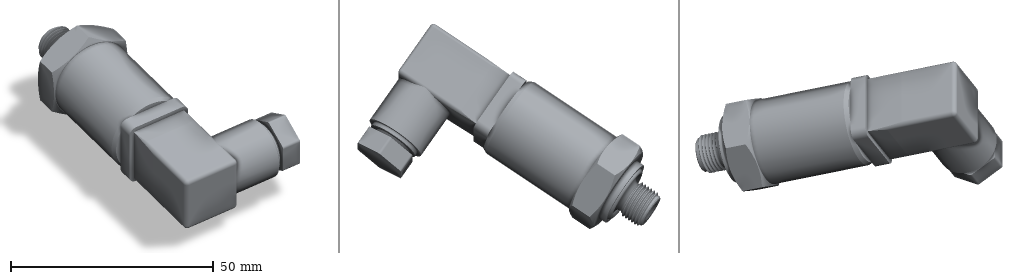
import cadquery as cq
import math


thread_end = 6.4
collar_start = 7.95
hex_start = 9.85
hex_end = 17.2
housing_end = 43.3
base_end = 47.3
plug_end = 70.9

thread_crest_diameter = 9.7
thread_root_diameter = 8.6
thread_pitch = 0.91
ridge_start = 0.85
ridge_length = 5.0
ridge_crest_width = 0.15
ridge_base_width = 0.8
ridge_sink = 0.105
ridge_start_angle = 90.0
undercut_diameter = 8.0
collar_diameter = 17.0
flare_diameter = 10.8
groove_inner_diameter = 11.5
groove_outer_diameter = 15.2
hex_across_flats = 22.0
hex_face_diameter = 21.7
hex_chamfer_angle = 30.0
bore_diameter = 3.3
bore_mouth_diameter = 5.0

seal_center_diameter = 13.2
seal_section_radius = (seal_center_diameter - groove_inner_diameter) / 2
seal_start = 7.3
groove_floor = seal_start + 2 * seal_section_radius

housing_diameter = 21.3
housing_end_diameter = 20.2
housing_chamfer_length = 1.1

base_width = 17.45
base_corner_radius = 1.9
plug_width = 15.6
plug_edge_radius = 1.05
taper_inset = 0.35
taper_length_y = 9.15
taper_length_z = 5.0

outlet_x = 62.8
outlet_diameter = 15.45
outlet_end = 20.3
washer_diameter = 13.2
washer_end = 21.3
neck_diameter = 10.0
nut_start = 22.25
nut_end = 27.3
nut_across_flats = 13.0
nut_corner_radius = 0.7


def hex_corner_diameter(across_flats):
    return across_flats / math.cos(math.radians(30))


def bar(diameter, start, end):
    """Round bar along X."""
    return cq.Workplane("YZ", origin=(start, 0, 0)).circle(diameter / 2).extrude(end - start)


def square_bar(width, start, end):
    """Square bar along X."""
    return cq.Workplane("YZ", origin=(start, 0, 0)).rect(width, width).extrude(end - start)


def outlet_bar(diameter, start, end):
    """Round bar along the cable outlet, from Y = start to Y = end."""
    plane = cq.Plane(origin=(outlet_x, start, 0), xDir=(1, 0, 0), normal=(0, 1, 0))
    return cq.Workplane(plane).circle(diameter / 2).extrude(end - start)


def revolve_x(profile):
    """Turn a closed profile, drawn in XY, about the X axis."""
    return profile.close().revolve(360, (0, 0, 0), (1, 0, 0))


def make_thread_ridge():
    """Helical ridge of the thread, wound about X."""
    root_radius = thread_root_diameter / 2
    crest_radius = thread_crest_diameter / 2
    helix = cq.Wire.makeHelix(thread_pitch, ridge_length, root_radius)
    ridge = (
        cq.Workplane("XZ")
        .moveTo(root_radius - ridge_sink, -ridge_base_width / 2)
        .lineTo(crest_radius, -ridge_crest_width / 2)
        .lineTo(crest_radius, ridge_crest_width / 2)
        .lineTo(root_radius - ridge_sink, ridge_base_width / 2)
        .close()
        .sweep(cq.Workplane(obj=helix), isFrenet=True)
    )
    ridge = ridge.rotate((0, 0, 0), (0, 1, 0), 90)
    ridge = ridge.rotate((0, 0, 0), (1, 0, 0), ridge_start_angle)
    ridge = ridge.translate((ridge_start, 0, 0))
    run_out = crest_radius - undercut_diameter / 2
    envelope = revolve_x(
        cq.Workplane("XY")
        .lineTo(0, crest_radius - run_out)
        .lineTo(run_out, crest_radius)
        .lineTo(thread_end - run_out, crest_radius)
        .lineTo(thread_end, crest_radius - run_out)
        .lineTo(thread_end, 0)
    )
    return ridge.intersect(envelope)


def make_fitting_core():
    """Turned core from the thread tip to the collar, with 45 degree ends on the thread."""
    root_radius = thread_root_diameter / 2
    undercut_radius = undercut_diameter / 2
    run_out = root_radius - undercut_radius
    flare = flare_diameter / 2 - undercut_radius
    flare_middle = flare * math.sin(math.radians(45))
    flare_start = collar_start - flare
    return revolve_x(
        cq.Workplane("XY")
        .lineTo(0, undercut_radius)
        .lineTo(run_out, root_radius)
        .lineTo(thread_end - run_out, root_radius)
        .lineTo(thread_end, undercut_radius)
        .lineTo(flare_start, undercut_radius)
        .threePointArc(
            (flare_start + flare_middle, undercut_radius + flare - flare_middle),
            (collar_start, flare_diameter / 2),
        )
        .lineTo(collar_start, groove_inner_diameter / 2)
        .lineTo(groove_floor, groove_inner_diameter / 2)
        .lineTo(groove_floor, groove_outer_diameter / 2)
        .lineTo(collar_start, groove_outer_diameter / 2)
        .lineTo(collar_start, collar_diameter / 2)
        .lineTo(hex_start, collar_diameter / 2)
        .lineTo(hex_start, 0)
    )


def make_hexagon():
    """Wrench hexagon with corners at +Z and -Z, chamfered at both ends."""
    corner_diameter = hex_corner_diameter(hex_across_flats)
    prism = (
        cq.Workplane("YZ", origin=(hex_start, 0, 0))
        .polygon(6, corner_diameter)
        .extrude(hex_end - hex_start)
        .rotate((0, 0, 0), (1, 0, 0), 90)
    )
    corner_radius = corner_diameter / 2
    face_radius = hex_face_diameter / 2
    chamfer_length = (corner_radius - face_radius) * math.tan(math.radians(hex_chamfer_angle))
    envelope = revolve_x(
        cq.Workplane("XY")
        .moveTo(hex_start, 0)
        .lineTo(hex_start, face_radius)
        .lineTo(hex_start + chamfer_length, corner_radius)
        .lineTo(hex_end - chamfer_length, corner_radius)
        .lineTo(hex_end, face_radius)
        .lineTo(hex_end, 0)
    )
    return prism.intersect(envelope)


def make_bore():
    """Pressure port through the fitting, with a 45 degree countersunk mouth."""
    mouth_radius = bore_mouth_diameter / 2
    bore_radius = bore_diameter / 2
    return revolve_x(
        cq.Workplane("XY")
        .lineTo(0, mouth_radius)
        .lineTo(mouth_radius - bore_radius, bore_radius)
        .lineTo(hex_end, bore_radius)
        .lineTo(hex_end, 0)
    )


def make_fitting():
    fitting = make_fitting_core().union(make_thread_ridge()).union(make_hexagon())
    return fitting.cut(make_bore())


def make_seal():
    """Ring seated on the floor of the collar groove."""
    center = cq.Vector(seal_start + seal_section_radius, 0, 0)
    ring = cq.Solid.makeTorus(
        seal_center_diameter / 2, seal_section_radius, center, cq.Vector(1, 0, 0)
    )
    return cq.Workplane(obj=ring)


def make_housing():
    chamfer_depth = (housing_diameter - housing_end_diameter) / 2
    housing = bar(housing_diameter, hex_end, housing_end)
    return housing.faces(">X").chamfer(housing_chamfer_length, chamfer_depth)


def make_base():
    """Square base with rounded corners between the housing and the plug."""
    return square_bar(base_width, housing_end, base_end).edges("|X").fillet(base_corner_radius)


def taper_prism(plane, length):
    """Side outline of the plug, narrowed over the given length next to the base."""
    half = plug_width / 2
    return (
        cq.Workplane(plane)
        .moveTo(base_end, half - taper_inset)
        .lineTo(base_end + length, half)
        .lineTo(plug_end, half)
        .lineTo(plug_end, -half)
        .lineTo(base_end + length, -half)
        .lineTo(base_end, -half + taper_inset)
        .close()
        .extrude(half, both=True)
    )


def make_plug():
    """Tapered, round-edged box with the round cable outlet on its +Y side."""
    box = square_bar(plug_width, base_end, plug_end)
    box = box.edges("|X or >X").fillet(plug_edge_radius)
    box = box.intersect(taper_prism("XY", taper_length_y))
    box = box.intersect(taper_prism("XZ", taper_length_z))
    outlet_root = plug_width / 2 - plug_edge_radius
    return box.union(outlet_bar(outlet_diameter, outlet_root, outlet_end))


def make_washer():
    return outlet_bar(washer_diameter, outlet_end, washer_end)


def make_cable_nut():
    """Hexagonal nut on a round neck, with rounded corners, two of them at +Z and -Z."""
    plane = cq.Plane(origin=(outlet_x, nut_start, 0), xDir=(0, 0, 1), normal=(0, 1, 0))
    nut = (
        cq.Workplane(plane)
        .polygon(6, hex_corner_diameter(nut_across_flats))
        .extrude(nut_end - nut_start)
        .edges("|Y")
        .fillet(nut_corner_radius)
    )
    return nut.union(outlet_bar(neck_diameter, washer_end, nut_start))


fitting = make_fitting()
seal = make_seal()
housing = make_housing()
base = make_base()
plug = make_plug()
washer = make_washer()
cable_nut = make_cable_nut()

result = cq.Compound.makeCompound([
    fitting.val(),
    seal.val(),
    housing.val(),
    base.val(),
    plug.val(),
    washer.val(),
    cable_nut.val(),
])